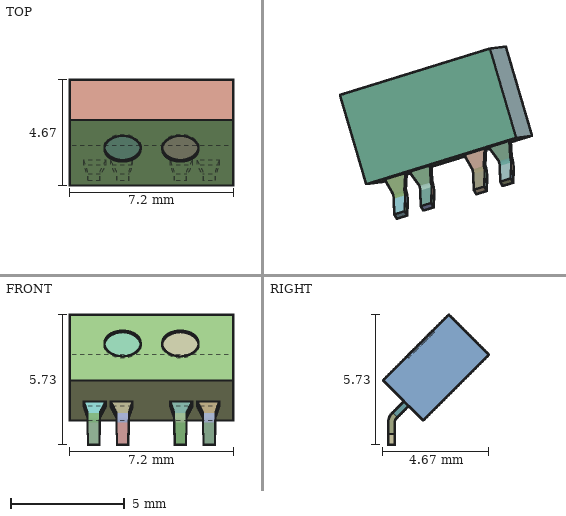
import cadquery as cq
import math

body_width = 7.2
body_depth = 2.5
body_length = 4.1
tilt = 45.0

window_pitch = 2.54
window_diameter = 1.6
window_depth = 0.1
window_from_top = 1.8

inner_lead_x = 1.27
outer_lead_x = 2.54
lead_thickness = 0.3
lead_setback = 1.3
root_width = 0.98
root_gap = 0.2
taper_length = 0.7
straight_length = 0.035
shank_width = 0.55
tip_width = 0.51
tip_length = 0.48
bend_inner_radius = 0.3
lead_drop = 1.063

bend_outer_radius = bend_inner_radius + lead_thickness
sin_tilt = math.sin(math.radians(tilt))
cos_tilt = math.cos(math.radians(tilt))
pair_center = (inner_lead_x + outer_lead_x) / 2
half_pair = (outer_lead_x - inner_lead_x) / 2
tip_z = -body_depth * sin_tilt - lead_drop


def tilted(y, z):
    """Turn an upright (y, z) point about the X axis into the leaning position."""
    return y * cos_tilt + z * sin_tilt, z * cos_tilt - y * sin_tilt


def lean(shape):
    """Turn an upright shape about the X axis into the leaning position."""
    return shape.rotate((0, 0, 0), (1, 0, 0), -tilt)


def make_body():
    block = cq.Workplane("XY").box(body_width, body_depth, body_length, centered=(True, False, False))
    windows = (
        cq.Workplane("XZ")
        .pushPoints([(side * window_pitch / 2, body_length - window_from_top) for side in (-1, 1)])
        .circle(window_diameter / 2)
        .extrude(-window_depth)
    )
    return lean(block.cut(windows))


def make_root(shank_x, root_x):
    """Flared plate, wide at the body and narrowing to the shank."""
    plate = (
        cq.Workplane("XZ", origin=(0, lead_setback, 0))
        .polyline([
            (root_x - root_width / 2, 0),
            (root_x + root_width / 2, 0),
            (shank_x + shank_width / 2, -taper_length),
            (shank_x - shank_width / 2, -taper_length),
        ])
        .close()
        .extrude(-lead_thickness)
    )
    return lean(plate)


def make_shank(shank_x):
    """Constant-width strip bending from the tilted direction to vertical, with a narrower tip."""
    lead_back = lead_setback + lead_thickness
    bend_z = -taper_length - straight_length
    outer_start = tilted(lead_setback, -taper_length)
    outer_bend = tilted(lead_setback, bend_z)
    inner_bend = tilted(lead_back, bend_z)
    inner_start = tilted(lead_back, -taper_length)
    center_y, center_z = tilted(lead_setback + bend_outer_radius, bend_z)
    front_y = center_y - bend_outer_radius
    back_y = center_y - bend_inner_radius

    def bend_middle(radius):
        angle = math.radians(tilt / 2)
        return center_y - radius * math.cos(angle), center_z + radius * math.sin(angle)

    tip_top_z = tip_z + tip_length
    strip = (
        cq.Workplane("YZ", origin=(shank_x, 0, 0))
        .moveTo(*outer_start)
        .lineTo(*outer_bend)
        .threePointArc(bend_middle(bend_outer_radius), (front_y, center_z))
        .lineTo(front_y, tip_top_z)
        .lineTo(back_y, tip_top_z)
        .lineTo(back_y, center_z)
        .threePointArc(bend_middle(bend_inner_radius), inner_bend)
        .lineTo(*inner_start)
        .close()
        .extrude(shank_width / 2, both=True)
    )
    tip = cq.Workplane("XY", origin=(shank_x, front_y, tip_z)).box(
        tip_width, lead_thickness, tip_length, centered=(True, False, False)
    )
    return strip.union(tip)


result = make_body()
for pair_side in (-1, 1):
    for lead_side in (-1, 1):
        shank_x = pair_side * pair_center + lead_side * half_pair
        root_x = pair_side * pair_center + lead_side * (root_gap + root_width) / 2
        result = result.union(make_root(shank_x, root_x)).union(make_shank(shank_x))